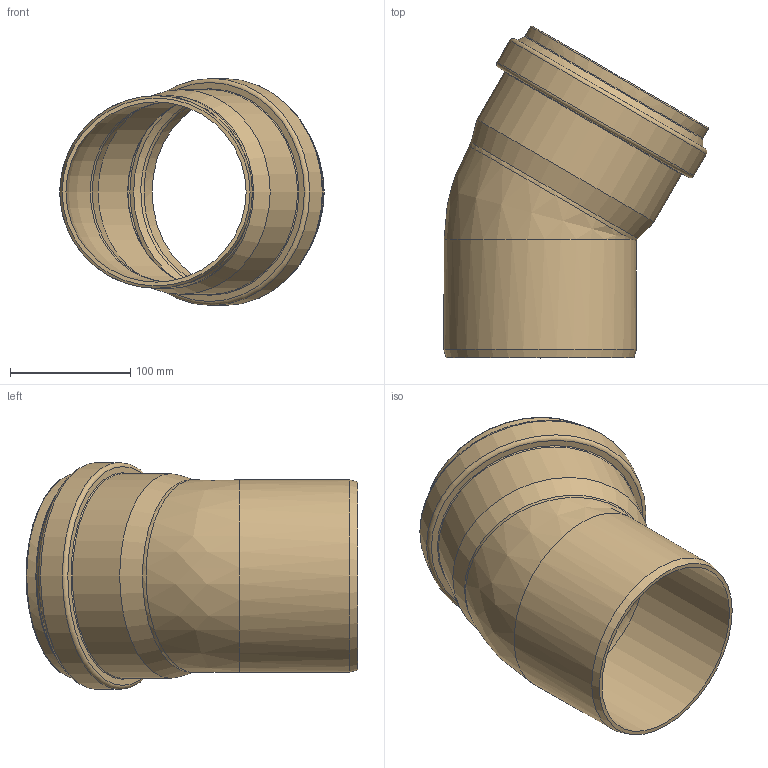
import cadquery as cq
import math


bend_angle = 30.0
bend_radius = 75.6

pipe_radius = 160.1 / 2
bore_radius = 149.9 / 2
spigot_length = 98.5
spigot_taper_length = 7.0
spigot_taper_depth = 1.9
spigot_tip_radius = pipe_radius - spigot_taper_depth

socket_wall = 4.7
socket_radius = 170.1 / 2
bead_radius = 188.8 / 2
rim_radius = 170.4 / 2
socket_bore_radius = socket_radius - socket_wall
groove_radius = bead_radius - socket_wall
rim_bore_radius = rim_radius - socket_wall

collar_end = 3.3
cone_end = 22.3
bead_start = 68.6
bead_end = 96.2
rim_start = 102.3
socket_length = 112.55
groove_start = bead_start + socket_wall
groove_end = bead_end - socket_wall

neck_shoulder_radius = 89.1
rim_bore_start = 97.1
groove_cone_angle = 45.0
groove_cone_length = rim_bore_start - groove_end
groove_lip_radius = rim_bore_radius + groove_cone_length * math.tan(math.radians(groove_cone_angle))

bead_fillet = 3.3
bead_root_fillet = 0.8
neck_fillet = 1.5
rim_fillet = 1.0
groove_entry_fillet = 1.8
rim_bore_fillet = 4.2


def revolve_outline(points):
    """Solid of revolution about the Y axis from (radius, station) points."""
    return cq.Workplane("XY").polyline(points).close().revolve(360, (0, 0, 0), (0, 1, 0))


def round_circle(body, radius, station, fillet):
    """Fillet the circular edge of a revolved body that has this radius and station."""
    margin = 0.05
    reach = radius + margin
    edge = (
        body.edges(cq.selectors.BoxSelector(
            (-reach, station - margin, -reach),
            (reach, station + margin, reach),
            boundingbox=True,
        ))
        .edges("%CIRCLE")
        .edges(cq.selectors.RadiusNthSelector(-1))
    )
    return edge.fillet(fillet)


def place_at_elbow_end(body):
    """Swing a body built on the Y axis round the bend to the elbow outlet."""
    pivot_start = (bend_radius, 0, 0)
    pivot_end = (bend_radius, 0, 1)
    return body.rotate(pivot_start, pivot_end, -bend_angle)


def spigot_outer():
    return revolve_outline([
        (0, 0),
        (pipe_radius, 0),
        (pipe_radius, spigot_taper_length - spigot_length),
        (spigot_tip_radius, -spigot_length),
        (0, -spigot_length),
    ])


def spigot_bore():
    return cq.Workplane("XZ").circle(bore_radius).extrude(spigot_length)


def elbow(radius):
    """Torus segment; any part of its circle beyond the bend axis is trimmed off."""
    section = cq.Sketch().circle(radius)
    if radius > bend_radius:
        trim = cq.Sketch().rect(2 * radius, 2 * radius)
        section = section.face(trim.moved(cq.Location((bend_radius + radius, 0, 0))), mode="s")
    return (
        cq.Workplane("XZ")
        .placeSketch(section)
        .revolve(bend_angle, (bend_radius, 0, 0), (bend_radius, -1, 0))
    )


def socket_outer():
    body = revolve_outline([
        (0, 0),
        (pipe_radius, 0),
        (pipe_radius, collar_end),
        (socket_radius, cone_end),
        (socket_radius, bead_start),
        (bead_radius, bead_start),
        (bead_radius, bead_end),
        (neck_shoulder_radius, bead_end),
        (rim_radius, rim_start),
        (rim_radius, socket_length),
        (0, socket_length),
    ])
    body = round_circle(body, bead_radius, bead_start, bead_fillet)
    body = round_circle(body, bead_radius, bead_end, bead_fillet)
    body = round_circle(body, socket_radius, bead_start, bead_root_fillet)
    body = round_circle(body, rim_radius, rim_start, neck_fillet)
    return round_circle(body, rim_radius, socket_length, rim_fillet)


def socket_bore():
    body = revolve_outline([
        (0, 0),
        (bore_radius, 0),
        (bore_radius, collar_end),
        (socket_bore_radius, cone_end),
        (socket_bore_radius, groove_start),
        (groove_radius, groove_start),
        (groove_radius, groove_end),
        (groove_lip_radius, groove_end),
        (rim_bore_radius, rim_bore_start),
        (rim_bore_radius, socket_length),
        (0, socket_length),
    ])
    body = round_circle(body, socket_bore_radius, groove_start, groove_entry_fillet)
    return round_circle(body, rim_bore_radius, rim_bore_start, rim_bore_fillet)


outer = spigot_outer().union(elbow(pipe_radius)).union(place_at_elbow_end(socket_outer()))
bore = spigot_bore().union(elbow(bore_radius)).union(place_at_elbow_end(socket_bore()))
result = outer.cut(bore)